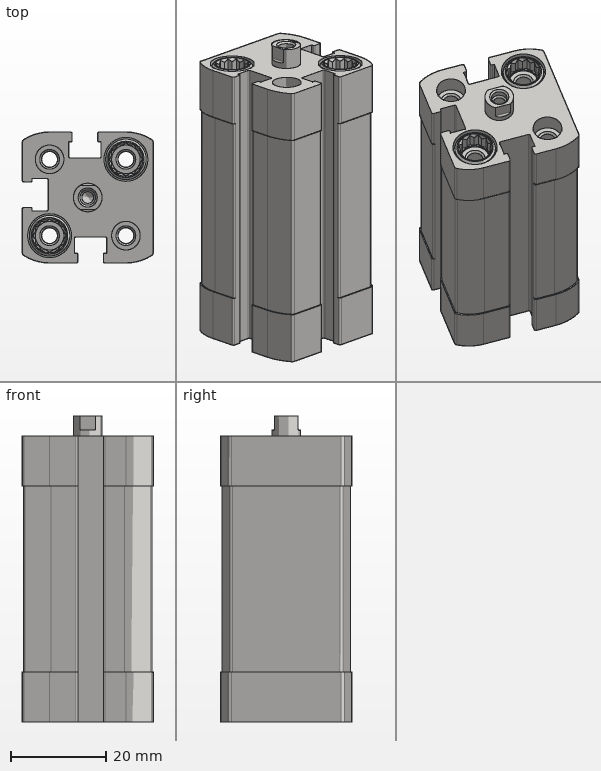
import cadquery as cq
import math

housing_length = 60.0
cap_width = 27.5
tube_inset = 0.25
tube_width = cap_width - 2 * tube_inset
cap_height = 10.5
corner_run = 5.75
crown_radius = 10.0
corner_blend = 0.8

slot_offset = 0.6
slot_mouth = 5.3
slot_inside = 6.75
slot_depth = 5.45
lip_thickness = 2.1
lip_outer_round = 0.4
slot_round = 0.3
slot_floor = cap_width / 2 - slot_depth
lip_back = cap_width / 2 - lip_thickness

hole_pitch = 16.0
hole_diameter = 3.3
counterbore_diameter = 6.0
counterbore_depth = 3.7
hole_mouth_diameter = 4.13

socket_bore_diameter = 9.2
sleeve_diameter = 8.5
sleeve_chamfer = 0.45
groove_depth = 2.0
star_across_flats = 6.0
star_depth = 3.3
star_mouth_diameter = 7.1
star_mouth_depth = 0.9

rod_diameter = 6.0
rod_projection = 4.2
rod_seat_depth = cap_height
rod_flat_width = 5.0
rod_flat_height = 3.0
rod_flat_fillet = 0.3
thread_mouth_diameter = 4.0
thread_relief_diameter = 3.24
thread_relief_depth = 1.5
thread_core_diameter = 2.46
thread_core_depth = 8.0
drill_tip_angle = 118.0


def cone_depth(large_diameter, small_diameter, included_angle=90.0):
    return (large_diameter - small_diameter) / 2 / math.tan(math.radians(included_angle / 2))


def turned_solid(profile, top):
    """Revolve a closed outline of (radius, height) points about Z; heights are relative to top."""
    return cq.Workplane("XZ", origin=(0, 0, top)).polyline(profile).close().revolve(360, (0, 0), (0, 1))


def round_vertical_edges(solid, places, radius):
    """Fillet the vertical edges that stand at the given (x, y) places."""
    tolerance = 0.01

    def stands_at_place(edge):
        middle = edge.Center()
        return any(math.hypot(middle.x - x, middle.y - y) < tolerance for x, y in places)

    edges = [edge for edge in solid.edges("|Z").vals() if stands_at_place(edge)]
    return solid.newObject(edges).fillet(radius)


def turned_point(x, y, turn):
    angle = math.radians(turn)
    return (
        x * math.cos(angle) - y * math.sin(angle),
        x * math.sin(angle) + y * math.cos(angle),
    )


slots = ((0, slot_offset), (90, -slot_offset), (-90, -slot_offset))


def slot_places(depth_x, half_width):
    """Both corners of every slot at one depth, as (x, y) places."""
    return [
        turned_point(-depth_x, offset + side * half_width, turn)
        for turn, offset in slots
        for side in (-1, 1)
    ]


def housing_section(width, height, base):
    """One length of the housing: crowned block with three T-slots."""
    half = width / 2
    seam = half - corner_run
    crown_drop = crown_radius - math.sqrt(crown_radius**2 - corner_run**2)
    shoulder = half - crown_drop
    half_angle = math.asin(corner_run / crown_radius) / 2
    mid_x = seam + crown_radius * math.sin(half_angle)
    mid_y = half - crown_radius * (1 - math.cos(half_angle))
    block = (
        cq.Workplane("XY", origin=(0, 0, base))
        .moveTo(-seam, half)
        .lineTo(seam, half)
        .threePointArc((mid_x, mid_y), (half, shoulder))
        .lineTo(half, -shoulder)
        .threePointArc((mid_x, -mid_y), (seam, -half))
        .lineTo(-seam, -half)
        .threePointArc((-mid_x, -mid_y), (-half, -shoulder))
        .lineTo(-half, shoulder)
        .threePointArc((-mid_x, mid_y), (-seam, half))
        .close()
        .extrude(height)
    )
    corners = [(x, y) for x in (-half, half) for y in (-shoulder, shoulder)]
    block = round_vertical_edges(block, corners, corner_blend)
    for turn, offset in slots:
        start = cq.Workplane("XY", origin=(0, 0, base))
        mouth = start.center(-cap_width / 2, offset).rect(2 * slot_depth, slot_mouth).extrude(height)
        inside = (
            start.center(-(slot_floor + lip_back) / 2, offset)
            .rect(lip_back - slot_floor, slot_inside)
            .extrude(height)
        )
        block = block.cut(mouth.union(inside).rotate((0, 0, 0), (0, 0, 1), turn))
    block = round_vertical_edges(block, slot_places(half, slot_mouth / 2), lip_outer_round)
    block = round_vertical_edges(block, slot_places(lip_back, slot_mouth / 2), slot_round)
    return round_vertical_edges(block, slot_places(slot_floor, slot_inside / 2), slot_round)


def mounting_hole():
    """Through hole with a counterbore and a small chamfer at the counterbore floor."""
    chamfer = cone_depth(hole_mouth_diameter, hole_diameter)
    return turned_solid(
        [
            (0, 0),
            (counterbore_diameter / 2, 0),
            (counterbore_diameter / 2, -counterbore_depth),
            (hole_mouth_diameter / 2, -counterbore_depth),
            (hole_diameter / 2, -counterbore_depth - chamfer),
            (hole_diameter / 2, -housing_length),
            (0, -housing_length),
        ],
        housing_length,
    )


def centring_groove():
    """Ring-shaped groove that leaves a chamfered sleeve standing inside the bore."""
    return turned_solid(
        [
            (sleeve_diameter / 2 - sleeve_chamfer, 0),
            (socket_bore_diameter / 2, 0),
            (socket_bore_diameter / 2, -groove_depth),
            (sleeve_diameter / 2, -groove_depth),
            (sleeve_diameter / 2, -sleeve_chamfer),
        ],
        housing_length,
    )


def star_socket():
    """Twelve-point socket, two hexagons turned 30 degrees apart, with a conical mouth."""
    across_corners = star_across_flats / math.cos(math.pi / 6)
    hexagon = (
        cq.Workplane("XY", origin=(0, 0, housing_length))
        .polygon(6, across_corners)
        .extrude(-star_depth)
    )
    mouth = turned_solid(
        [
            (0, 0),
            (star_mouth_diameter / 2, 0),
            (star_across_flats / 2, -star_mouth_depth),
            (0, -star_mouth_depth),
        ],
        housing_length,
    )
    return hexagon.union(hexagon.rotate((0, 0, 0), (0, 0, 1), 30)).union(mouth)


def make_housing():
    tube_height = housing_length - 2 * cap_height
    housing = (
        housing_section(cap_width, cap_height, 0)
        .union(housing_section(tube_width, tube_height, cap_height))
        .union(housing_section(cap_width, cap_height, housing_length - cap_height))
    )
    hole = mounting_hole()
    socket = centring_groove().union(star_socket())
    for side_x in (-1, 1):
        for side_y in (-1, 1):
            place = (side_x * hole_pitch / 2, side_y * hole_pitch / 2, 0)
            housing = housing.cut(hole.translate(place))
            if side_x == side_y:
                housing = housing.cut(socket.translate(place))
    rod_seat = (
        cq.Workplane("XY", origin=(0, 0, housing_length))
        .circle(rod_diameter / 2)
        .extrude(-rod_seat_depth)
    )
    return housing.cut(rod_seat)


def thread_hole(top):
    """Countersunk, relieved and cone-tipped hole in the rod end."""
    mouth = cone_depth(thread_mouth_diameter, thread_relief_diameter)
    shoulder = cone_depth(thread_relief_diameter, thread_core_diameter)
    tip = cone_depth(thread_core_diameter, 0, drill_tip_angle)
    return turned_solid(
        [
            (0, 0),
            (thread_mouth_diameter / 2, 0),
            (thread_relief_diameter / 2, -mouth),
            (thread_relief_diameter / 2, -thread_relief_depth),
            (thread_core_diameter / 2, -thread_relief_depth - shoulder),
            (thread_core_diameter / 2, -thread_core_depth),
            (0, -thread_core_depth - tip),
        ],
        top,
    )


def make_rod():
    top = housing_length + rod_projection
    rod = (
        cq.Workplane("XY", origin=(0, 0, top))
        .circle(rod_diameter / 2)
        .extrude(-rod_projection - rod_seat_depth)
    )
    for side in (-1, 1):
        flat_cut = (
            cq.Workplane("XY", origin=(0, side * (rod_flat_width + rod_diameter) / 2, top - rod_flat_height))
            .box(2 * rod_diameter, rod_diameter, rod_diameter, centered=(True, True, False))
            .edges("|X and <Z and " + ("<Y" if side > 0 else ">Y"))
            .fillet(rod_flat_fillet)
        )
        rod = rod.cut(flat_cut)
    return rod.cut(thread_hole(top))


housing = make_housing()
rod = make_rod()

result = cq.Compound.makeCompound([housing.val(), rod.val()])